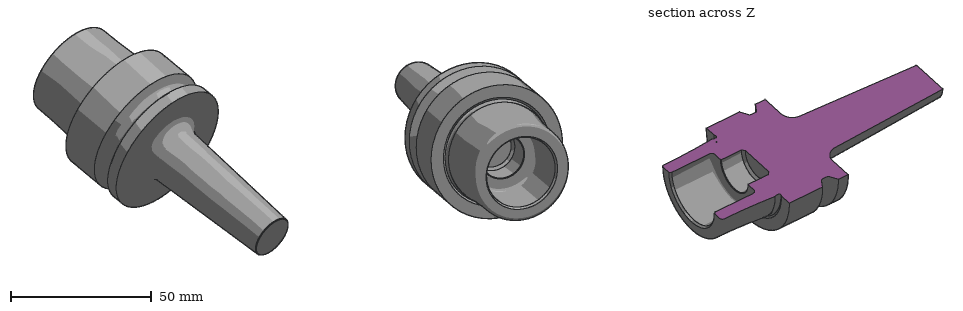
import cadquery as cq
import math

shank_length = 24.75
total_length = 104.9
flange_width = 26.0
tip_x = -shank_length
nose_end_x = total_length - shank_length

tip_round = 1.2
tip_radius = 18.1
taper_mid_x = -14.5
taper_mid_radius = 18.25
taper_end_x = -1.9
taper_end_radius = 19.1

relief_radius = 18.85
relief_slope_length = 0.8
relief_round = 0.7
face_recess_radius = 20.3
face_recess_depth = 0.3

flange_radius = 25.0
groove_centre_x = 18.15
groove_mouth_width = 6.9
groove_floor_radius = 21.5
groove_wall_angle = 30.0
groove_floor_fillet = 0.8

nose_end_radius = 8.0
nose_angle = 3.0
nose_root_fillet = 5.0
nose_end_chamfer = 0.25

bore_radius = 13.0
bore_mouth_radius = 13.6
bore_chamfer_length = 0.9
bore_depth = 18.8
bore_floor_fillet = 1.3

hole_radius = 8.0
hole_depth = 10.0
hole_mouth_chamfer = 0.25
hole_bottom_chamfer = 1.0


def revolve_about_x(profile):
    return profile.close().revolve(360, (0, 0, 0), (1, 0, 0))


def make_shank_and_flange():
    """Solid shank and plain flange, with the relief worked into the corner between them."""
    slope = math.atan((taper_end_radius - relief_radius) / relief_slope_length)
    tangent_length = relief_round * math.tan(slope / 2)
    slope_foot_x = taper_end_x + relief_slope_length
    slope_arc_start = (
        slope_foot_x - tangent_length * math.cos(slope),
        relief_radius + tangent_length * math.sin(slope),
    )
    slope_arc_end = (slope_foot_x + tangent_length, relief_radius)
    profile = (
        cq.Workplane("XY")
        .moveTo(tip_x, 0)
        .lineTo(tip_x, tip_radius - tip_round)
        .radiusArc((tip_x + tip_round, tip_radius), tip_round)
        .threePointArc((taper_mid_x, taper_mid_radius), (taper_end_x, taper_end_radius))
        .lineTo(*slope_arc_start)
        .radiusArc(slope_arc_end, -relief_round)
        .lineTo(face_recess_depth - relief_round, relief_radius)
        .radiusArc((face_recess_depth, relief_radius + relief_round), -relief_round)
        .lineTo(0, face_recess_radius)
        .lineTo(0, flange_radius)
        .lineTo(flange_width, flange_radius)
        .lineTo(flange_width, 0)
    )
    return revolve_about_x(profile)


def make_gripper_groove():
    wall_run = (flange_radius - groove_floor_radius) * math.tan(math.radians(groove_wall_angle))
    mouth_start_x = groove_centre_x - groove_mouth_width / 2
    mouth_end_x = groove_centre_x + groove_mouth_width / 2
    ring = revolve_about_x(
        cq.Workplane("XY")
        .moveTo(mouth_start_x, flange_radius)
        .lineTo(mouth_start_x + wall_run, groove_floor_radius)
        .lineTo(mouth_end_x - wall_run, groove_floor_radius)
        .lineTo(mouth_end_x, flange_radius)
    )
    floor_edges = cq.selectors.RadiusNthSelector(0)
    return ring.edges("%CIRCLE").edges(floor_edges).fillet(groove_floor_fillet)


def make_nose():
    slope = math.radians(nose_angle)
    root_radius = nose_end_radius + (nose_end_x - flange_width) * math.tan(slope)
    arc_centre_x = flange_width + nose_root_fillet
    side_at_centre = root_radius - nose_root_fillet * math.tan(slope)
    arc_centre_radius = side_at_centre + nose_root_fillet / math.cos(slope)
    arc_end_x = arc_centre_x - nose_root_fillet * math.sin(slope)
    arc_end_radius = arc_centre_radius - nose_root_fillet * math.cos(slope)
    profile = (
        cq.Workplane("XY")
        .moveTo(flange_width, 0)
        .lineTo(flange_width, arc_centre_radius)
        .radiusArc((arc_end_x, arc_end_radius), -nose_root_fillet)
        .lineTo(nose_end_x, nose_end_radius)
        .lineTo(nose_end_x, 0)
    )
    return revolve_about_x(profile).faces(">X").edges().chamfer(nose_end_chamfer)


def make_bore():
    floor_x = tip_x + bore_depth
    profile = (
        cq.Workplane("XY")
        .moveTo(tip_x, 0)
        .lineTo(tip_x, bore_mouth_radius)
        .lineTo(tip_x + bore_chamfer_length, bore_radius)
        .lineTo(floor_x - bore_floor_fillet, bore_radius)
        .radiusArc((floor_x, bore_radius - bore_floor_fillet), bore_floor_fillet)
        .lineTo(floor_x, 0)
    )
    return revolve_about_x(profile)


def make_hole():
    mouth_x = tip_x + bore_depth
    bottom_x = mouth_x + hole_depth
    profile = (
        cq.Workplane("XY")
        .moveTo(mouth_x, 0)
        .lineTo(mouth_x, hole_radius + hole_mouth_chamfer)
        .lineTo(mouth_x + hole_mouth_chamfer, hole_radius)
        .lineTo(bottom_x - hole_bottom_chamfer, hole_radius)
        .lineTo(bottom_x, hole_radius - hole_bottom_chamfer)
        .lineTo(bottom_x, 0)
    )
    return revolve_about_x(profile)


holder = make_shank_and_flange().cut(make_gripper_groove()).union(make_nose())
result = holder.cut(make_bore()).cut(make_hole())